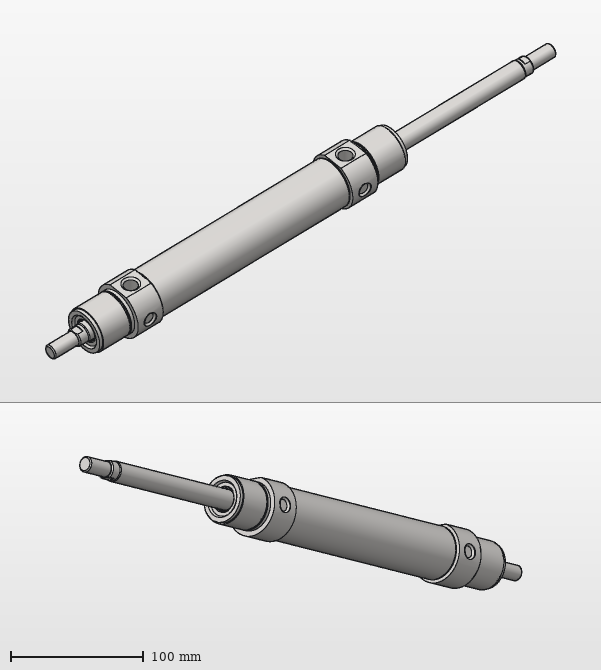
import cadquery as cq
import math

overall_length = 501.0
barrel_center_y = -62.5

tube_diameter = 41.5
tube_bore = 38.0

cap_end_distance = 154.0
collar_outer_distance = 119.5
collar_inner_distance = 94.5
collar_diameter = 46.0
collar_flat_height = 21.0
seat_diameter = 40.0
seat_length = 1.0
spigot_length = 15.0
nose_diameter = 38.0
nose_step_diameter = 36.0
nose_step_length = 3.0
groove_diameter = 36.0
groove_width = 1.5
groove_distance = 122.5

recess_mouth_diameter = 28.5
recess_diameter = 26.0
recess_depth = 2.0
rod_mouth_diameter = 20.0
rod_mouth_depth = 3.0
rod_clearance_diameter = 18.0
rod_clearance_depth = 4.5

port_mouth_diameter = 15.0
port_diameter = 11.5
port_depth = collar_flat_height
port_chamfer_depth = 1.5
side_hole_mouth_diameter = 12.0
side_hole_diameter = 9.0
side_hole_depth = 2.5

rod_diameter = 16.0
rod_taper_length = 1.0
neck_diameter = 15.0
neck_length = 8.5
neck_chamfer_diameter = 13.0
neck_chamfer_length = 1.0
flat_width = 13.0
flat_length = 6.0
thread_diameter = 12.0
thread_length = 23.5
thread_chamfer = 1.0


def turned(profile):
    """Solid of revolution about Y from (radius, y) points; the profile closes itself."""
    return cq.Workplane("XY").polyline(profile).close().revolve(360, (0, 0, 0), (0, 1, 0))


def cylinder(diameter, length):
    """Cylinder along +Y that starts at the origin."""
    return cq.Workplane("XZ").circle(diameter / 2).extrude(-length)


def make_tube():
    """Plain tube held between the seats of the two caps."""
    half_length = collar_inner_distance - seat_length
    tube = cylinder(tube_diameter, 2 * half_length).cut(cylinder(tube_bore, 2 * half_length))
    return tube.translate((0, barrel_center_y - half_length, 0))


def radial_cutter(profile):
    """Round cutter about Z through the middle of the collar, from (radius, height) points."""
    collar_middle_distance = (collar_outer_distance + collar_inner_distance) / 2
    cutter = cq.Workplane("XZ").polyline(profile).close().revolve(360, (0, 0, 0), (0, 1, 0))
    return cutter.translate((0, collar_middle_distance, 0))


def port_cutter():
    """Port with a chamfered mouth in the collar flat."""
    chamfer_end = collar_flat_height - port_chamfer_depth
    bottom = collar_flat_height - port_depth
    return radial_cutter([
        (0, bottom),
        (port_diameter / 2, bottom),
        (port_diameter / 2, chamfer_end),
        (port_mouth_diameter / 2, collar_flat_height),
        (0, collar_flat_height),
    ])


def side_hole_cutter():
    """Shallow flat-bottomed conical hole; its mouth just fits inside the curved collar side."""
    collar_radius = collar_diameter / 2
    mouth_radius = side_hole_mouth_diameter / 2
    mouth_height = math.sqrt(collar_radius**2 - mouth_radius**2)
    bottom = collar_radius - side_hole_depth
    return radial_cutter([
        (0, bottom),
        (side_hole_diameter / 2, bottom),
        (mouth_radius, mouth_height),
        (mouth_radius, collar_radius),
        (0, collar_radius),
    ])


def cap_blank():
    """Turned shape of a cap: spigot, tube seat, collar, and grooved nose with a stepped recess."""
    spigot_radius = tube_bore / 2
    seat_radius = seat_diameter / 2
    collar_radius = collar_diameter / 2
    nose_radius = nose_diameter / 2
    groove_radius = groove_diameter / 2
    rod_radius = rod_diameter / 2
    seat_face = collar_inner_distance - seat_length
    spigot_face = seat_face - spigot_length
    nose_step_face = cap_end_distance - nose_step_length
    recess_floor = cap_end_distance - recess_depth
    rod_mouth_floor = cap_end_distance - rod_mouth_depth
    rod_clearance_floor = cap_end_distance - rod_clearance_depth
    return turned([
        (rod_radius, spigot_face),
        (spigot_radius, spigot_face),
        (spigot_radius, seat_face),
        (seat_radius, seat_face),
        (seat_radius, collar_inner_distance),
        (collar_radius, collar_inner_distance),
        (collar_radius, collar_outer_distance),
        (nose_radius, collar_outer_distance),
        (nose_radius, groove_distance),
        (groove_radius, groove_distance),
        (groove_radius, groove_distance + groove_width),
        (nose_radius, groove_distance + groove_width),
        (nose_radius, nose_step_face),
        (nose_step_diameter / 2, nose_step_face),
        (nose_step_diameter / 2, cap_end_distance),
        (recess_mouth_diameter / 2, cap_end_distance),
        (recess_diameter / 2, recess_floor),
        (rod_mouth_diameter / 2, recess_floor),
        (rod_mouth_diameter / 2, rod_mouth_floor),
        (rod_clearance_diameter / 2, rod_mouth_floor),
        (rod_clearance_diameter / 2, rod_clearance_floor),
        (rod_radius, rod_clearance_floor),
    ])


def make_cap():
    """Cap for the +Y end of the barrel, with the middle of the barrel at the origin."""
    above_flat = (
        cq.Workplane("XY", origin=(0, cap_end_distance / 2, collar_flat_height))
        .rect(collar_diameter, cap_end_distance)
        .extrude(collar_diameter)
    )
    cap = cap_blank().cut(above_flat).cut(port_cutter())
    side_hole = side_hole_cutter()
    for angle in (90, -90):
        cap = cap.cut(side_hole.rotate((0, 0, 0), (0, 1, 0), angle))
    return cap


def placed_cap(end_angle):
    """The cap turned about Z to face its end of the barrel; port stays on top."""
    return (
        make_cap()
        .rotate((0, 0, 0), (0, 0, 1), end_angle)
        .translate((0, barrel_center_y, 0))
    )


def make_rod():
    """Through rod, the same at both ends."""
    end = overall_length / 2
    neck_end = end - thread_length
    shoulder = neck_end - neck_length
    rod_radius = rod_diameter / 2
    neck_radius = neck_diameter / 2
    thread_radius = thread_diameter / 2
    half = [
        (rod_radius, shoulder - rod_taper_length),
        (neck_radius, shoulder),
        (neck_radius, neck_end - neck_chamfer_length),
        (neck_chamfer_diameter / 2, neck_end),
        (thread_radius, neck_end),
        (thread_radius, end - thread_chamfer),
        (thread_radius - thread_chamfer, end),
        (0, end),
    ]
    mirrored = [(radius, -y) for radius, y in reversed(half)]
    rod = turned(mirrored + half)
    flat_middle = neck_end - flat_length / 2
    for y in (-flat_middle, flat_middle):
        for side in (-1, 1):
            z = side * (flat_width / 2 + rod_radius / 2)
            beyond_flat = cq.Workplane("XY").box(rod_diameter, flat_length, rod_radius)
            rod = rod.cut(beyond_flat.translate((0, y, z)))
    return rod


tube = make_tube()
caps = [placed_cap(angle) for angle in (0, 180)]
rod = make_rod()

result = cq.Compound.makeCompound([tube.val(), *[cap.val() for cap in caps], rod.val()])